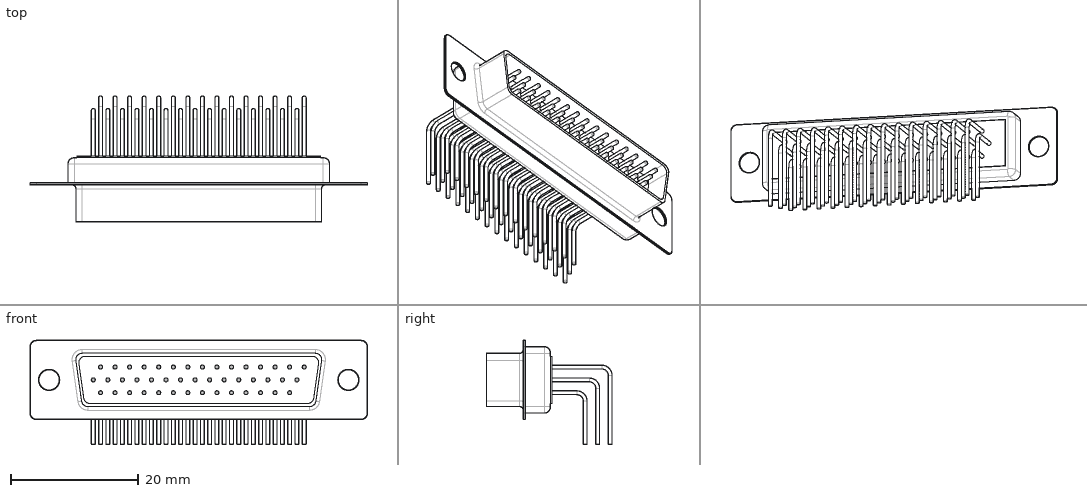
import cadquery as cq
import math

PLATE_LENGTH = 53.1
PLATE_HEIGHT = 12.5
PLATE_THICKNESS = 0.35
PLATE_CORNER = 1.0
PLATE_EDGE_BREAK = 0.08
MOUNT_SPACING = 47.05
MOUNT_DIAMETER = 3.2

SHELL_WIDTH = 38.65
SHELL_HEIGHT = 8.4
SHELL_DEPTH = 5.8
SHELL_CORNER = 1.0
SHELL_WALL = 0.5
SHELL_ROOT_FILLET = 0.6
SIDE_TILT = 8.0
CAVITY_DEPTH = 3.8
CAVITY_CORNER = 1.0

HOUSING_WIDTH = 41.15
HOUSING_HEIGHT = 10.45
HOUSING_DEPTH = 3.95
HOUSING_CORNER = 1.05
HOUSING_REAR_FILLET = 0.95
STEP_WIDTH = 38.35
STEP_HEIGHT = 7.45
STEP_DEPTH = 0.25

PIN_DIAMETER = 0.65
ROW_LENGTH = 32.0
LONG_ROW_COUNT = 15
SHORT_ROW_COUNT = 14
ROW_SPACING = 2.0
TAIL_SPACING = 1.95
PIN_END_FILLET = 0.15
PIN_TIP_RECESS = 0.1
BEND_RADIUS = 1.35
OVERALL_DEPTH = 19.8
OVERALL_HEIGHT = 16.4

HOUSING_REAR_Y = PLATE_THICKNESS + HOUSING_DEPTH
PIN_RADIUS = PIN_DIAMETER / 2
PIN_PITCH = ROW_LENGTH / (LONG_ROW_COUNT - 1)
PIN_TIP_Y = PIN_TIP_RECESS - SHELL_DEPTH
LAST_TAIL_Y = OVERALL_DEPTH - SHELL_DEPTH - PIN_RADIUS
TAIL_END_Z = PLATE_HEIGHT / 2 - OVERALL_HEIGHT
ROW_SHIFT = PIN_PITCH / 4
FIRST_PIN_X = -ROW_LENGTH / 2

PIN_ROWS = [
    (LONG_ROW_COUNT, FIRST_PIN_X + ROW_SHIFT, ROW_SPACING, LAST_TAIL_Y),
    (LONG_ROW_COUNT, FIRST_PIN_X - ROW_SHIFT, 0.0, LAST_TAIL_Y - TAIL_SPACING),
    (SHORT_ROW_COUNT, FIRST_PIN_X + ROW_SHIFT, -ROW_SPACING, LAST_TAIL_Y - 2 * TAIL_SPACING),
]


def block(width, height, y_front, y_rear):
    """Rectangular block centred on the Y axis."""
    return cq.Workplane("XZ", origin=(0, y_front, 0)).rect(width, height).extrude(y_front - y_rear)


def d_prism(width, height, corner, y_front, y_rear):
    """D-shaped prism along Y; width is measured over its rounded top corners."""
    tilt = math.radians(SIDE_TILT)
    sharp_overhang = corner * (math.tan(math.pi / 4 + tilt / 2) - 1)
    top_half = width / 2 + sharp_overhang
    bottom_half = top_half - height * math.tan(tilt)
    outline = [
        (-top_half, height / 2),
        (top_half, height / 2),
        (bottom_half, -height / 2),
        (-bottom_half, -height / 2),
    ]
    return (
        cq.Workplane("XZ", origin=(0, y_front, 0))
        .polyline(outline)
        .close()
        .extrude(y_front - y_rear)
        .edges("|Y")
        .fillet(corner)
    )


def make_plate():
    """Flange plate with rounded corners, two mounting holes and broken edges."""
    blank = block(PLATE_LENGTH, PLATE_HEIGHT, 0, PLATE_THICKNESS).edges("|Y").fillet(PLATE_CORNER)
    holes = (
        cq.Workplane("XZ")
        .pushPoints([(-MOUNT_SPACING / 2, 0), (MOUNT_SPACING / 2, 0)])
        .circle(MOUNT_DIAMETER / 2)
        .extrude(-PLATE_THICKNESS)
    )
    return blank.cut(holes).faces("<Y or >Y").edges().chamfer(PLATE_EDGE_BREAK)


def add_shell(plate):
    """Join the D-shaped shell to the plate, flare its root and hollow it out."""
    shell = d_prism(SHELL_WIDTH, SHELL_HEIGHT, SHELL_CORNER, -SHELL_DEPTH, 0)
    cavity = d_prism(
        SHELL_WIDTH - 2 * SHELL_WALL,
        SHELL_HEIGHT - 2 * SHELL_WALL,
        CAVITY_CORNER,
        -SHELL_DEPTH,
        CAVITY_DEPTH - SHELL_DEPTH,
    )
    root_zone = cq.selectors.BoxSelector(
        (-HOUSING_WIDTH / 2, -PLATE_THICKNESS / 2, -HOUSING_HEIGHT / 2),
        (HOUSING_WIDTH / 2, PLATE_THICKNESS / 2, HOUSING_HEIGHT / 2),
        boundingbox=True,
    )
    return plate.union(shell).edges(root_zone).fillet(SHELL_ROOT_FILLET).cut(cavity)


def make_housing():
    """Rounded rear housing with the low step that carries the pins."""
    housing = (
        block(HOUSING_WIDTH, HOUSING_HEIGHT, PLATE_THICKNESS, HOUSING_REAR_Y)
        .edges("|Y")
        .fillet(HOUSING_CORNER)
        .faces(">Y")
        .edges()
        .fillet(HOUSING_REAR_FILLET)
    )
    return housing.union(block(STEP_WIDTH, STEP_HEIGHT, HOUSING_REAR_Y, HOUSING_REAR_Y + STEP_DEPTH))


def make_pin(x, z, tail_y):
    """Round pin running back along Y, then bent down to its tail."""
    bend_y = tail_y - BEND_RADIUS
    bend_z = z - BEND_RADIUS
    mid_offset = BEND_RADIUS * math.sin(math.pi / 4)
    path = (
        cq.Workplane("YZ", origin=(x, 0, 0))
        .moveTo(PIN_TIP_Y, z)
        .lineTo(bend_y, z)
        .threePointArc((bend_y + mid_offset, bend_z + mid_offset), (tail_y, bend_z))
        .lineTo(tail_y, TAIL_END_Z)
    )
    return (
        cq.Workplane("XZ", origin=(x, PIN_TIP_Y, z))
        .circle(PIN_RADIUS)
        .sweep(path)
        .faces("<Y or <Z")
        .fillet(PIN_END_FILLET)
    )


body = add_shell(make_plate()).union(make_housing())
pins = [
    make_pin(first_x + index * PIN_PITCH, z, tail_y).val()
    for count, first_x, z, tail_y in PIN_ROWS
    for index in range(count)
]
result = cq.Workplane("XY").newObject([body.val().fuse(*pins)])